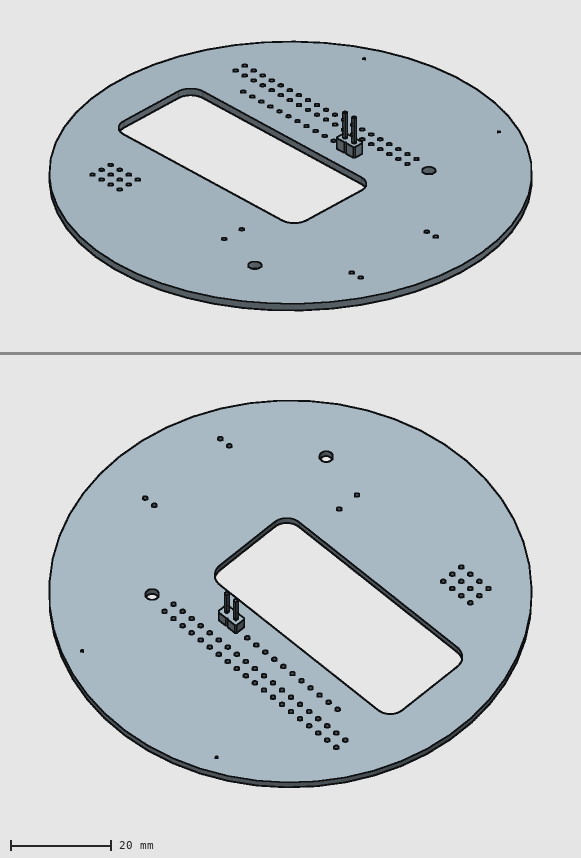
import cadquery as cq

board_diameter = 96.0
board_thickness = 1.6

window_length = 51.4
window_width = 22.3
window_corner_radius = 3.5
window_center = (-11.1, -2.4)

contact_hole_diameter = 1.0
mounting_hole_diameter = 2.7
marker_hole_diameter = 0.5

double_row_columns = 20
double_row_span = 48.3
pitch = double_row_span / (double_row_columns - 1)

double_row_center = (-10.0, 20.0)
single_row_columns = 11
single_row_center = (-14.9, 14.3)
grid_columns = 4
grid_rows = 3
grid_center = (-23.5, -25.8)
side_pair_x = 35.7
side_pair_heights = (-17.3, 3.8)
wide_pair_center = (7.8, -24.0)
wide_pair_spacing = 5.0

mounting_hole_x = 18.9
mounting_hole_heights = (-29.0, 20.0)
marker_hole_positions = [(-19.1, 39.8), (18.7, 39.8)]

header_pin_count = 2
header_center = (2.7, 13.9)
header_chamfer = 0.25
pin_width = 0.64
pin_length = 11.5
pin_length_below_block = 3.0


def hole_grid(center, columns, rows, row_spacing=pitch):
    """Hole centers of a grid that lies evenly about its center."""
    left = center[0] - (columns - 1) * pitch / 2
    bottom = center[1] - (rows - 1) * row_spacing / 2
    return [
        (left + column * pitch, bottom + row * row_spacing)
        for column in range(columns)
        for row in range(rows)
    ]


header_pin_positions = hole_grid(header_center, header_pin_count, 1)


def contact_hole_positions():
    """Centers of all contact holes, those of the header included."""
    positions = hole_grid(double_row_center, double_row_columns, 2)
    positions += hole_grid(single_row_center, single_row_columns, 1)
    positions += hole_grid(grid_center, grid_columns, grid_rows)
    positions += hole_grid(wide_pair_center, 1, 2, wide_pair_spacing)
    for y in side_pair_heights:
        positions += hole_grid((side_pair_x, y), 2, 1)
    return positions + header_pin_positions


def drill(body, positions, diameter):
    """Drill through holes into the board from its top face."""
    drills = (
        cq.Workplane("XY")
        .pushPoints(positions)
        .circle(diameter / 2)
        .extrude(board_thickness)
    )
    return body.cut(drills)


def cut_window(body):
    """Cut the rounded rectangular window through the board."""
    window = (
        cq.Workplane("XY")
        .center(*window_center)
        .rect(window_length, window_width)
        .extrude(board_thickness)
        .edges("|Z")
        .fillet(window_corner_radius)
    )
    return body.cut(window)


def make_board():
    """Round board with its window and all its holes."""
    body = cq.Workplane("XY").circle(board_diameter / 2).extrude(board_thickness)
    body = cut_window(body)
    body = drill(body, contact_hole_positions(), contact_hole_diameter)
    mounting_hole_positions = [(mounting_hole_x, y) for y in mounting_hole_heights]
    body = drill(body, mounting_hole_positions, mounting_hole_diameter)
    return drill(body, marker_hole_positions, marker_hole_diameter)


def make_header_block(position):
    """Square block, one pitch wide, with chamfered upright edges."""
    return (
        cq.Workplane("XY", origin=(*position, board_thickness))
        .rect(pitch, pitch)
        .extrude(pitch)
        .edges("|Z")
        .chamfer(header_chamfer)
    )


def make_header_pin(position):
    """Square pin that reaches through the block and the board."""
    pin_bottom = board_thickness - pin_length_below_block
    return (
        cq.Workplane("XY", origin=(*position, pin_bottom))
        .rect(pin_width, pin_width)
        .extrude(pin_length)
    )


def make_header():
    """Pin header, made in one piece, that stands on the board."""
    body = cq.Workplane("XY")
    for position in header_pin_positions:
        body = body.union(make_header_block(position))
        body = body.union(make_header_pin(position))
    return body


board = make_board()
header = make_header()

result = cq.Compound.makeCompound([board.val(), header.val()])